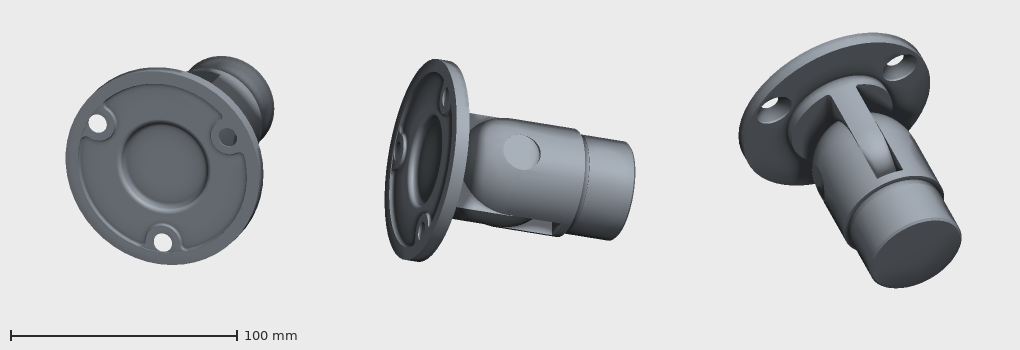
import cadquery as cq
import math


flange_thickness = 6.1
collar_top = 11.6
hinge_y = 39.1
slot_end = 64.6
head_end = 68.6
neck_end = 71.4
total_length = 93.5

flange_diameter = 90.0
joint_radius = 24.3
tongue_thickness = 12.1
tongue_root_fillet = 2.0

recess_radius = 39.3
recess_depth = 2.0
boss_setback = 0.5
boss_radius = 7.95
screw_count = 3
screw_circle_radius = 35.0
screw_hole_radius = 4.3
screw_head_radius = 8.4
screw_lip = 0.5
first_screw_angle = -90.0
recess_floor_fillet = 0.9

dish_floor_radius = 18.0
dish_rim_radius = 22.1
dish_depth = 3.8

slot_width = 12.6
neck_radius = 22.0
spigot_radius = 22.25
spigot_chamfer = 0.9

pin_radius = 8.5
pin_outer_x = 22.7
pin_inner_x = -(slot_width / 2 + pin_radius)


def cylinder_along_y(radius, start, end):
    """Cylinder on the joint axis between two Y positions."""
    return cq.Workplane("XZ", origin=(0, start, 0)).circle(radius).extrude(start - end)


def hinge_ball():
    """Sphere about the hinge centre, shared by the tongue and the swivel head."""
    return cq.Workplane("XY", origin=(0, hinge_y, 0)).sphere(joint_radius)


def screw_angles():
    return [first_screw_angle + i * 360.0 / screw_count for i in range(screw_count)]


def polar_point(along, across, angle):
    """Point at a distance along, and to the left of, the ray at the given angle."""
    c = math.cos(math.radians(angle))
    s = math.sin(math.radians(angle))
    return (along * c - across * s, along * s + across * c)


def recess_outline():
    """Circle indented by a boss at each screw, with rounded corners to the rim."""
    corner_radius = (recess_radius**2 - boss_radius**2 - screw_circle_radius**2) / (
        2 * (recess_radius + boss_radius)
    )
    corner_offset = boss_radius + corner_radius
    corner_angle = math.degrees(math.atan2(corner_offset, screw_circle_radius))
    rim_along = recess_radius * math.cos(math.radians(corner_angle))
    rim_across = recess_radius * math.sin(math.radians(corner_angle))

    middle_turn = math.radians((180.0 + corner_angle) / 2)
    middle_along = screw_circle_radius + corner_radius * math.sin(middle_turn)
    middle_across = corner_offset + corner_radius * math.cos(middle_turn)

    angles = screw_angles()
    outline = cq.Workplane("XZ").moveTo(*polar_point(rim_along, -rim_across, angles[0]))
    for angle in angles:
        outline = (
            outline.threePointArc(
                polar_point(middle_along, -middle_across, angle),
                polar_point(screw_circle_radius, -boss_radius, angle),
            )
            .threePointArc(
                polar_point(screw_circle_radius - boss_radius, 0, angle),
                polar_point(screw_circle_radius, boss_radius, angle),
            )
            .threePointArc(
                polar_point(middle_along, middle_across, angle),
                polar_point(rim_along, rim_across, angle),
            )
            .threePointArc(
                polar_point(recess_radius, 0, angle + 180.0 / screw_count),
                polar_point(rim_along, -rim_across, angle + 360.0 / screw_count),
            )
        )
    return outline.close()


def back_recess():
    """Hollow under the flange, shallow over the bosses and filleted at its floor."""
    pocket = recess_outline().extrude(-recess_depth).faces(">Y").edges().fillet(recess_floor_fillet)
    return pocket.union(cylinder_along_y(recess_radius, 0, boss_setback))


def centre_dish():
    """Round dish with an S-shaped side made of two equal tangent arcs."""
    side_width = dish_rim_radius - dish_floor_radius
    floor_y = recess_depth + dish_depth
    middle = (dish_floor_radius + side_width / 2, recess_depth + dish_depth / 2)
    return (
        cq.Workplane("XY")
        .moveTo(0, recess_depth)
        .lineTo(0, floor_y)
        .lineTo(dish_floor_radius, floor_y)
        .tangentArcPoint(middle, relative=False)
        .tangentArcPoint((dish_rim_radius, recess_depth), relative=False)
        .close()
        .revolve(360, (0, 0, 0), (0, 1, 0))
    )


def screw_hole():
    """Through hole on the joint axis, opening by a cone into a wider screw-head bore."""
    cone_start = boss_setback + screw_lip
    cone_end = cone_start + screw_head_radius - screw_hole_radius
    return (
        cq.Workplane("XY")
        .polyline(
            [
                (0, 0),
                (screw_hole_radius, 0),
                (screw_hole_radius, cone_start),
                (screw_head_radius, cone_end),
                (screw_head_radius, flange_thickness),
                (0, flange_thickness),
            ]
        )
        .close()
        .revolve(360, (0, 0, 0), (0, 1, 0))
    )


def screw_holes():
    holes = cq.Workplane("XZ")
    for angle in screw_angles():
        x, z = polar_point(screw_circle_radius, 0, angle)
        holes = holes.add(screw_hole().translate((x, 0, z)))
    return holes.combine()


def hinge_pin():
    """Plain pin from the +X side, ending blind in the -X cheek."""
    return (
        cq.Workplane("YZ", origin=(pin_inner_x, hinge_y, 0))
        .circle(pin_radius)
        .extrude(pin_outer_x - pin_inner_x)
    )


def pin_bore():
    """Hole for the pin, open through the +X side."""
    return (
        cq.Workplane("YZ", origin=(pin_inner_x, hinge_y, 0))
        .circle(pin_radius)
        .extrude(joint_radius - pin_inner_x)
    )


def flange_with_tongue():
    column = cylinder_along_y(joint_radius, flange_thickness, hinge_y).union(hinge_ball())
    clearance_width = joint_radius
    clearance_length = hinge_y + joint_radius - collar_top
    for side in (-1, 1):
        clearance = cq.Workplane("XY").box(clearance_width, clearance_length, 2 * joint_radius).translate(
            (side * (tongue_thickness + clearance_width) / 2, collar_top + clearance_length / 2, 0)
        )
        root = "<X" if side > 0 else ">X"
        clearance = clearance.faces(root).edges("<Y").fillet(tongue_root_fillet)
        column = column.cut(clearance)
    flange = cylinder_along_y(flange_diameter / 2, 0, flange_thickness)
    body = flange.union(column)
    return body.cut(back_recess()).cut(centre_dish()).cut(screw_holes()).cut(pin_bore())


def swivel_head():
    head = cylinder_along_y(joint_radius, hinge_y, head_end).union(hinge_ball())
    neck = cylinder_along_y(neck_radius, head_end, neck_end)
    spigot = cylinder_along_y(spigot_radius, neck_end, total_length)
    spigot = spigot.faces(">Y").edges().chamfer(spigot_chamfer)
    slot_start = hinge_y - joint_radius
    slot = cq.Workplane("XY").box(slot_width, slot_end - slot_start, 2 * joint_radius).translate(
        (0, (slot_start + slot_end) / 2, 0)
    )
    return head.union(neck).union(spigot).cut(slot).cut(pin_bore())


base = flange_with_tongue()
swivel = swivel_head()
pin = hinge_pin()

result = cq.Compound.makeCompound([base.val(), swivel.val(), pin.val()])